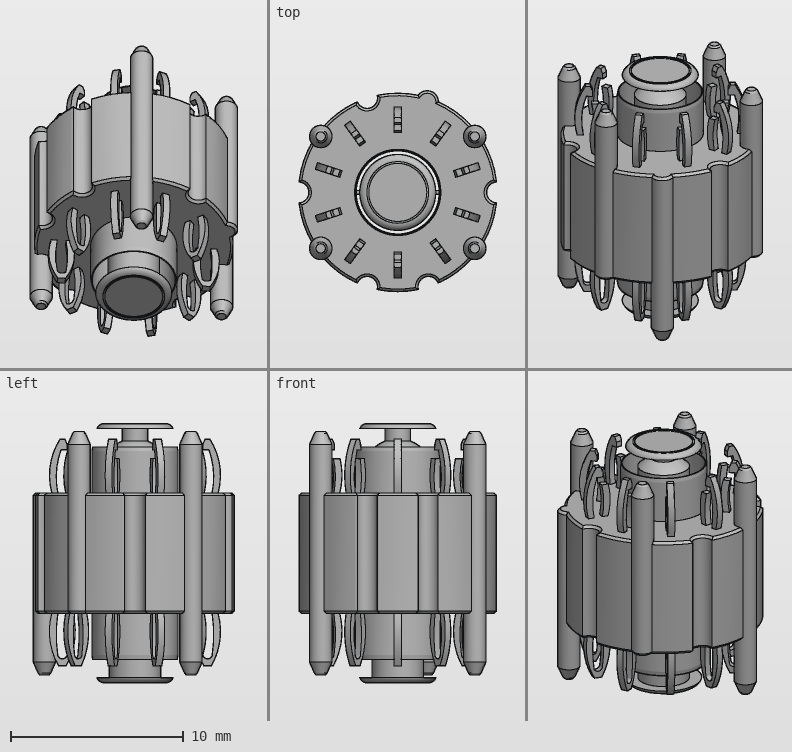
import cadquery as cq
import math

HALF_HEIGHT = 7.5

STATIONS = 10
PITCH = 360 / STATIONS

BODY_RADIUS = 5.75
BODY_HALF_HEIGHT = 3.5
BODY_CHAMFER = 0.15

NOTCH_ANGLES = [station * PITCH for station in (0, 3, 5, 7, 8)]
NOTCH_RADIUS = 0.6
NOTCH_FLAT_DISTANCE = 5.7
NOTCH_FLAT_WIDTH = 1.8
NOTCH_FLAT_DEPTH = 0.3

PIN_RADIUS = 1.3 / 2
PIN_CIRCLE_RADIUS = 5.5
PIN_SHOULDER = 6.3
PIN_CONE_END = 6.93
PIN_END = 7.05
PIN_CONE_END_RADIUS = 0.38
PIN_END_RADIUS = 0.27
THROUGH_PIN_ANGLES = [station * PITCH for station in (6, 9)]
UPPER_PIN_ANGLES = [station * PITCH for station in (1, 4)]
KEY_PIN_ANGLES = [2 * PITCH]

SLEEVE_RADIUS = 5.0 / 2
SLEEVE_HALF_HEIGHT = 6.15
SLEEVE_LIP_HEIGHT = 0.25
SLEEVE_LIP_INSET = 0.05
SLEEVE_BORE_RADIUS = 2.4

STEM_RADIUS = 3 / 2
DOME_BASE = 5.97
DOME_TOP = 6.63
NECK_RADIUS = 0.75
HEAD_RADIUS = 2.2
HEAD_THICKNESS = 0.3
GROOVE_OUTER_RADIUS = 3.57 / 2
GROOVE_INNER_RADIUS = 3.36 / 2
GROOVE_DEPTH = 0.05
HEAD_INNER_FACE = HALF_HEIGHT - HEAD_THICKNESS

SPOKE_SIZE = 0.22

CONTACT_RADIUS = 4.2
CONTACT_WIDTH = 0.4
CONTACT_EMBEDDING = 0.3
CONTACT_ROOT = BODY_HALF_HEIGHT - CONTACT_EMBEDDING
CONTACT_BULGE_HEIGHT = 4.47
LOOP_END = 6.51
HOOK_CREST = 6.6
ROOT_OUTER_REACH = 0.62
ROOT_INNER_REACH = 0.25
BULGE_OUTER_REACH = 0.75
BULGE_INNER_REACH = 0.35
LOOP_END_REACH = 0.22
LOOP_SLOT_SHOULDER = 5.92
LOOP_SLOT_END = 6.1
HOOK_CREST_OUTER_REACH = 0.14
HOOK_CREST_INNER_REACH = -0.15
HOOK_TIP_REACH = -0.28
HOOK_TIP_TOP = 6.3
HOOK_UNDERSIDE = 5.97
HOOK_UNDERSIDE_REACH = 0.08
SHORT_LEG_TOP = 5.48


def at_angle(shape, angle):
    return shape.rotate((0, 0, 0), (0, 0, 1), angle)


def spool(radius, end_radius):
    """A round bar over the height of the body whose radius changes to end_radius at 45 degrees."""
    straight_end = BODY_HALF_HEIGHT - abs(end_radius - radius)
    profile = (
        cq.Workplane("XZ")
        .moveTo(0, -BODY_HALF_HEIGHT)
        .lineTo(end_radius, -BODY_HALF_HEIGHT)
        .lineTo(radius, -straight_end)
        .lineTo(radius, straight_end)
        .lineTo(end_radius, BODY_HALF_HEIGHT)
        .lineTo(0, BODY_HALF_HEIGHT)
        .close()
    )
    return profile.revolve(360, (0, 0, 0), (0, 1, 0))


def make_notch_cutter():
    """A round groove, flared at both ends, with a narrow flat along each edge."""
    groove = spool(NOTCH_RADIUS, NOTCH_RADIUS + BODY_CHAMFER).translate((BODY_RADIUS, 0, 0))
    flat = cq.Workplane("XY").box(
        NOTCH_FLAT_DEPTH, NOTCH_FLAT_WIDTH, 2 * BODY_HALF_HEIGHT, centered=(False, True, True)
    )
    return groove.union(flat.translate((NOTCH_FLAT_DISTANCE, 0, 0)))


def make_body():
    """The notched, chamfered drum, with bumps where pins run down its rim."""
    body = spool(BODY_RADIUS, BODY_RADIUS - BODY_CHAMFER)
    bump = spool(PIN_RADIUS, PIN_RADIUS - BODY_CHAMFER).translate((PIN_CIRCLE_RADIUS, 0, 0))
    notch_cutter = make_notch_cutter()
    for angle in UPPER_PIN_ANGLES + KEY_PIN_ANGLES:
        body = body.union(at_angle(bump, angle))
    for angle in NOTCH_ANGLES:
        body = body.cut(at_angle(notch_cutter, angle))
    return body


def make_half_pin(angle):
    """The upper half of a pin, from the mid-height of the part to its tapered tip."""
    profile = (
        cq.Workplane("XZ")
        .lineTo(PIN_RADIUS, 0)
        .lineTo(PIN_RADIUS, PIN_SHOULDER)
        .lineTo(PIN_CONE_END_RADIUS, PIN_CONE_END)
        .lineTo(PIN_END_RADIUS, PIN_END)
        .lineTo(0, PIN_END)
        .close()
    )
    pin = profile.revolve(360, (0, 0, 0), (0, 1, 0))
    return at_angle(pin.translate((PIN_CIRCLE_RADIUS, 0, 0)), angle)


def make_sleeve():
    """The outside of the sleeve, solid until the bore is cut, with a tapered lip at each end."""
    lip_radius = SLEEVE_RADIUS - SLEEVE_LIP_INSET
    lip_start = SLEEVE_HALF_HEIGHT - SLEEVE_LIP_HEIGHT
    profile = (
        cq.Workplane("XZ")
        .moveTo(0, -SLEEVE_HALF_HEIGHT)
        .lineTo(lip_radius, -SLEEVE_HALF_HEIGHT)
        .lineTo(SLEEVE_RADIUS, -lip_start)
        .lineTo(SLEEVE_RADIUS, lip_start)
        .lineTo(lip_radius, SLEEVE_HALF_HEIGHT)
        .lineTo(0, SLEEVE_HALF_HEIGHT)
        .close()
    )
    return profile.revolve(360, (0, 0, 0), (0, 1, 0))


def make_head():
    """The upper stud head: a disc rounded from its rim in to a fine ring groove."""
    round_width = HEAD_RADIUS - GROOVE_OUTER_RADIUS
    round_radius = (round_width**2 + HEAD_THICKNESS**2) / (2 * HEAD_THICKNESS)
    round_center = HALF_HEIGHT - round_radius
    middle_offset = round_width / 2
    middle_radius = GROOVE_OUTER_RADIUS + middle_offset
    middle_height = round_center + math.sqrt(round_radius**2 - middle_offset**2)
    profile = (
        cq.Workplane("XZ")
        .moveTo(0, HEAD_INNER_FACE)
        .lineTo(HEAD_RADIUS, HEAD_INNER_FACE)
        .threePointArc((middle_radius, middle_height), (GROOVE_OUTER_RADIUS, HALF_HEIGHT))
        .lineTo(0, HALF_HEIGHT)
        .close()
    )
    head = profile.revolve(360, (0, 0, 0), (0, 1, 0))
    groove = (
        cq.Workplane("XY", origin=(0, 0, HALF_HEIGHT - GROOVE_DEPTH))
        .circle(GROOVE_OUTER_RADIUS)
        .circle(GROOVE_INNER_RADIUS)
        .extrude(GROOVE_DEPTH)
    )
    return head.cut(groove)


def make_stud():
    """The stem, domed below the upper head and straight down to the lower head."""
    dome_rise = DOME_TOP - DOME_BASE
    sphere_radius = (STEM_RADIUS**2 + dome_rise**2) / (2 * dome_rise)
    sphere_center = DOME_TOP - sphere_radius

    def dome_height(radius):
        return sphere_center + math.sqrt(sphere_radius**2 - radius**2)

    middle_radius = (STEM_RADIUS + NECK_RADIUS) / 2
    profile = (
        cq.Workplane("XZ")
        .moveTo(0, -HEAD_INNER_FACE)
        .lineTo(STEM_RADIUS, -HEAD_INNER_FACE)
        .lineTo(STEM_RADIUS, DOME_BASE)
        .threePointArc((middle_radius, dome_height(middle_radius)), (NECK_RADIUS, dome_height(NECK_RADIUS)))
        .lineTo(NECK_RADIUS, HEAD_INNER_FACE)
        .lineTo(0, HEAD_INNER_FACE)
        .close()
    )
    stem = profile.revolve(360, (0, 0, 0), (0, 1, 0))
    head = make_head()
    return stem.union(head).union(head.mirror("XY"))


def contact_plate(profile):
    """Extrude a radial profile to the width of a contact, centred on its plane."""
    return profile.extrude(CONTACT_WIDTH / 2, both=True)


def radial_plane():
    """Local x is the reach from CONTACT_RADIUS, local y is the height."""
    return cq.Workplane("XZ", origin=(CONTACT_RADIUS, 0, 0))


def make_upper_contact():
    """A tall hooked outer leg and a short inner leg."""
    tall_leg = contact_plate(
        radial_plane()
        .moveTo(ROOT_INNER_REACH, CONTACT_ROOT)
        .lineTo(ROOT_OUTER_REACH, CONTACT_ROOT)
        .lineTo(ROOT_OUTER_REACH, BODY_HALF_HEIGHT)
        .threePointArc((BULGE_OUTER_REACH, CONTACT_BULGE_HEIGHT), (HOOK_CREST_OUTER_REACH, HOOK_CREST))
        .lineTo(HOOK_CREST_INNER_REACH, HOOK_CREST)
        .lineTo(HOOK_TIP_REACH, HOOK_TIP_TOP)
        .lineTo(HOOK_TIP_REACH, HOOK_UNDERSIDE)
        .lineTo(HOOK_UNDERSIDE_REACH, HOOK_UNDERSIDE)
        .threePointArc((BULGE_INNER_REACH, CONTACT_BULGE_HEIGHT), (ROOT_INNER_REACH, BODY_HALF_HEIGHT))
        .close()
    )
    mirrored_leg = tall_leg.mirror("YZ", (CONTACT_RADIUS, 0, 0))
    keep = cq.Workplane("XY").box(
        4 * BULGE_OUTER_REACH, CONTACT_WIDTH, SHORT_LEG_TOP, centered=(True, True, False)
    )
    short_leg = mirrored_leg.intersect(keep.translate((CONTACT_RADIUS, 0, 0)))
    return tall_leg.union(short_leg)


def make_lower_contact():
    """A closed loop with a long slot, hanging below the body."""
    loop = contact_plate(
        radial_plane()
        .moveTo(-ROOT_OUTER_REACH, -CONTACT_ROOT)
        .lineTo(ROOT_OUTER_REACH, -CONTACT_ROOT)
        .lineTo(ROOT_OUTER_REACH, -BODY_HALF_HEIGHT)
        .threePointArc((BULGE_OUTER_REACH, -CONTACT_BULGE_HEIGHT), (LOOP_END_REACH, -LOOP_END))
        .lineTo(-LOOP_END_REACH, -LOOP_END)
        .threePointArc((-BULGE_OUTER_REACH, -CONTACT_BULGE_HEIGHT), (-ROOT_OUTER_REACH, -BODY_HALF_HEIGHT))
        .close()
    )
    slot = contact_plate(
        radial_plane()
        .moveTo(ROOT_INNER_REACH, -BODY_HALF_HEIGHT)
        .threePointArc((BULGE_INNER_REACH, -CONTACT_BULGE_HEIGHT), (ROOT_INNER_REACH, -LOOP_SLOT_SHOULDER))
        .threePointArc((0, -LOOP_SLOT_END), (-ROOT_INNER_REACH, -LOOP_SLOT_SHOULDER))
        .threePointArc((-BULGE_INNER_REACH, -CONTACT_BULGE_HEIGHT), (-ROOT_INNER_REACH, -BODY_HALF_HEIGHT))
        .close()
    )
    return loop.cut(slot)


result = make_body().union(make_sleeve())

for pin_angle in THROUGH_PIN_ANGLES + UPPER_PIN_ANGLES:
    result = result.union(make_half_pin(pin_angle))
for pin_angle in THROUGH_PIN_ANGLES + KEY_PIN_ANGLES:
    result = result.union(make_half_pin(pin_angle).mirror("XY"))

upper_contact = make_upper_contact()
lower_contact = make_lower_contact()
for station in range(STATIONS):
    contact_angle = (station + 0.5) * PITCH
    result = result.union(at_angle(upper_contact, contact_angle))
    result = result.union(at_angle(lower_contact, contact_angle))

bore = cq.Workplane("XY").circle(SLEEVE_BORE_RADIUS).extrude(SLEEVE_HALF_HEIGHT, both=True)
spokes = cq.Workplane("XY").box(2 * SLEEVE_RADIUS, SPOKE_SIZE, SPOKE_SIZE)
result = result.cut(bore).union(make_stud()).union(spokes)